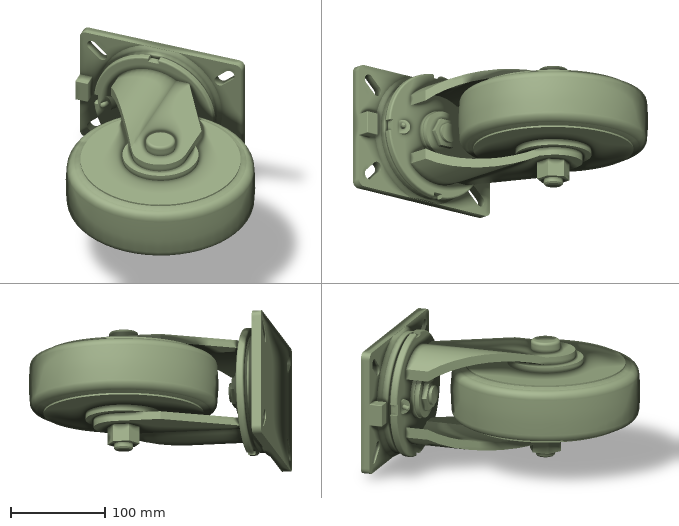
import cadquery as cq
import math


PLATE_LENGTH = 184.3
PLATE_WIDTH = 134.5
PLATE_THICKNESS = 10.0
PLATE_CORNER_RADIUS = 7.0
SLOT_WIDTH = 11.3
SLOT_OUTER_X = PLATE_LENGTH / 2 - 13.8
SLOT_OUTER_Z = PLATE_WIDTH / 2 - 14.8
SLOT_INNER_X = PLATE_LENGTH / 2 - 25.3
SLOT_INNER_Z = PLATE_WIDTH / 2 - 25.0

BLOCK_LENGTH = 14.3
BLOCK_WIDTH = 23.8
BLOCK_HEIGHT = 13.8
BLOCK_ROUND = 0.8

RING_RADIUS = 65.5
RING_FLARE = 4.4
RING_ROUND = 1.8
RING_DEPTH = 20.5
RING_TRIM_WIDTH = PLATE_WIDTH - 0.5
NECK_RADIUS = 60.0
DISK_RADIUS = 68.0
DISK_ROUND = 1.8
DISK_TOP_DEPTH = 23.8
DISK_BOTTOM_DEPTH = 31.7
NOTCH_WIDTH = 11.8
NOTCH_FLOOR_RADIUS = 63.2

KINGPIN_COLLAR_RADIUS = 26.0
KINGPIN_COLLAR_DEPTH = 36.0
KINGPIN_BOSS_RADIUS = 24.8
KINGPIN_BOSS_DEPTH = 41.2
KINGPIN_NUT_FLATS = 29.2
KINGPIN_NUT_DEPTH = 46.5
KINGPIN_STUD_RADIUS = 10.2
KINGPIN_STUD_DEPTH = 50.0

NIPPLE_X = -49.7
NIPPLE_TILT = 35
NIPPLE_BASE_RADIUS = 7.7
NIPPLE_BASE_HEIGHT = 2.8
NIPPLE_RADIUS = 2.5
NIPPLE_HEIGHT = 11.5
NIPPLE_TIP_CHAMFER = 1.3
NIPPLE_ROOT = 5

WHEEL_X = 55.3
WHEEL_DEPTH = 155.1
WHEEL_RADIUS = 100.9
TREAD_SHOULDER_RADIUS = 99.8
TREAD_SHOULDER_Z = 19.0
TREAD_SIDE_RADIUS = 91.5
TREAD_SIDE_Z = 28.0
RIM_RADIUS = 85.3
RIM_EDGE_Z = 30.0
RIM_FACE_Z = 31.7
HUB_RADIUS = 40.5
HUB_FACE_Z = 38.1
BOLT_HEAD_RADIUS = 15.5
BOLT_HEAD_ROUND = 3.0
BOLT_HEAD_Z = 57.3
AXLE_NUT_FLATS = 30.2
AXLE_NUT_Z = -65.0
AXLE_RADIUS = 10.2
AXLE_END_Z = -71.2
AXLE_END_CHAMFER = 1.5

FORK_BACK_X = -38.7
FORK_FLAT_X = 26.0
FORK_BACK_OUTER_Z = 38.0
FORK_BACK_INNER_Z = 26.5
FORK_CROWN_OUTER_Z = 53.8
FORK_CROWN_INNER_Z = 44.5
FORK_FLAT_OUTER_Z = 46.5
FORK_FLAT_INNER_Z = HUB_FACE_Z
FORK_BACK_DEPTH = 56.3
FORK_FRONT_ROOT_X = 40.7
FORK_FRONT_DEPTH = 110
FORK_END_RADIUS = 29.5
FORK_END_DEPTH = WHEEL_DEPTH + 2.5


def level(depth):
    """Workplane at a depth below the plate face: local axes X and Z, extruding towards -Y."""
    return cq.Workplane("XZ", origin=(0, -depth, 0))


def axle_plane(z):
    """Workplane across the wheel axle at height z, extruding towards +Z."""
    return cq.Workplane("XY", origin=(WHEEL_X, -WHEEL_DEPTH, z))


def hexagon_diameter(flats):
    return flats / math.cos(math.pi / 6)


def make_plate():
    plate = level(0).rect(PLATE_LENGTH, PLATE_WIDTH).extrude(PLATE_THICKNESS)
    plate = plate.edges("|Y").fillet(PLATE_CORNER_RADIUS)
    run_x = SLOT_OUTER_X - SLOT_INNER_X
    run_z = SLOT_OUTER_Z - SLOT_INNER_Z
    slot_length = math.hypot(run_x, run_z) + SLOT_WIDTH
    slot_angle = math.degrees(math.atan2(run_z, run_x))
    for side_x in (-1, 1):
        for side_z in (-1, 1):
            center_x = side_x * (SLOT_OUTER_X + SLOT_INNER_X) / 2
            center_z = side_z * (SLOT_OUTER_Z + SLOT_INNER_Z) / 2
            slot = level(0).center(center_x, center_z)
            slot = slot.slot2D(slot_length, SLOT_WIDTH, side_x * side_z * slot_angle)
            plate = plate.cut(slot.extrude(PLATE_THICKNESS))
    block = level(PLATE_THICKNESS).center((BLOCK_LENGTH - PLATE_LENGTH) / 2, 0)
    block = block.rect(BLOCK_LENGTH, BLOCK_WIDTH).extrude(BLOCK_HEIGHT)
    return plate.union(block.edges("|Y or <Y").fillet(BLOCK_ROUND))


def make_race_ring():
    """Ring with a conical flare into the plate, trimmed just inside the plate's long sides."""
    flare_depth = PLATE_THICKNESS + RING_FLARE
    ring = (
        cq.Workplane("XY")
        .moveTo(0, -PLATE_THICKNESS)
        .lineTo(RING_RADIUS + RING_FLARE, -PLATE_THICKNESS)
        .lineTo(RING_RADIUS, -flare_depth)
        .lineTo(RING_RADIUS, -RING_DEPTH)
        .lineTo(0, -RING_DEPTH)
        .close()
        .revolve(360, (0, 0, 0), (0, 1, 0))
        .faces("<Y").edges().fillet(RING_ROUND)
    )
    trim = level(PLATE_THICKNESS).rect(PLATE_LENGTH, RING_TRIM_WIDTH).extrude(RING_DEPTH)
    return ring.intersect(trim)


def make_turntable():
    neck = level(RING_DEPTH).circle(NECK_RADIUS).extrude(DISK_TOP_DEPTH - RING_DEPTH)
    thickness = DISK_BOTTOM_DEPTH - DISK_TOP_DEPTH
    disk = level(DISK_TOP_DEPTH).circle(DISK_RADIUS).extrude(thickness)
    disk = disk.edges().fillet(DISK_ROUND)
    notch_length = DISK_RADIUS - NOTCH_FLOOR_RADIUS
    notch = level(DISK_TOP_DEPTH).center(NOTCH_FLOOR_RADIUS + notch_length / 2, 0)
    notch = notch.rect(notch_length, NOTCH_WIDTH).extrude(thickness)
    for angle in (90, 180, 270):
        disk = disk.cut(notch.rotate((0, 0, 0), (0, 1, 0), angle))
    return neck.union(disk)


def make_kingpin():
    collar = level(DISK_BOTTOM_DEPTH).circle(KINGPIN_COLLAR_RADIUS)
    collar = collar.extrude(KINGPIN_COLLAR_DEPTH - DISK_BOTTOM_DEPTH)
    boss = level(KINGPIN_COLLAR_DEPTH).circle(KINGPIN_BOSS_RADIUS)
    boss = boss.extrude(KINGPIN_BOSS_DEPTH - KINGPIN_COLLAR_DEPTH)
    nut = level(KINGPIN_BOSS_DEPTH).polygon(6, hexagon_diameter(KINGPIN_NUT_FLATS))
    nut = nut.extrude(KINGPIN_NUT_DEPTH - KINGPIN_BOSS_DEPTH)
    stud = level(KINGPIN_NUT_DEPTH).circle(KINGPIN_STUD_RADIUS)
    stud = stud.extrude(KINGPIN_STUD_DEPTH - KINGPIN_NUT_DEPTH)
    return collar.union(boss).union(nut).union(stud)


def make_grease_nipple():
    root = level(-NIPPLE_ROOT)
    base = root.circle(NIPPLE_BASE_RADIUS).extrude(NIPPLE_ROOT + NIPPLE_BASE_HEIGHT)
    tip = root.circle(NIPPLE_RADIUS).extrude(NIPPLE_ROOT + NIPPLE_HEIGHT)
    tip = tip.faces("<Y").chamfer(NIPPLE_TIP_CHAMFER)
    nipple = base.union(tip).rotate((0, 0, 0), (0, 0, 1), -NIPPLE_TILT)
    return nipple.translate((NIPPLE_X, -DISK_BOTTOM_DEPTH, 0))


def make_fork_leg():
    """The +Z leg: a curved section running along Y, trimmed to the outline it has along Z."""
    front_x = WHEEL_X + FORK_END_RADIUS
    bottom_depth = FORK_END_DEPTH + FORK_END_RADIUS
    section = (
        level(DISK_BOTTOM_DEPTH)
        .moveTo(FORK_BACK_X, FORK_BACK_OUTER_Z)
        .threePointArc((0, FORK_CROWN_OUTER_Z), (FORK_FLAT_X, FORK_FLAT_OUTER_Z))
        .lineTo(front_x, FORK_FLAT_OUTER_Z)
        .lineTo(front_x, FORK_FLAT_INNER_Z)
        .lineTo(FORK_FLAT_X, FORK_FLAT_INNER_Z)
        .threePointArc((0, FORK_CROWN_INNER_Z), (FORK_BACK_X, FORK_BACK_INNER_Z))
        .close()
        .extrude(bottom_depth - DISK_BOTTOM_DEPTH)
    )
    back_run = FORK_BACK_X - WHEEL_X
    back_rise = FORK_END_DEPTH - FORK_BACK_DEPTH
    back_distance = math.hypot(back_run, back_rise)
    tangent_angle = math.atan2(back_rise, back_run) + math.acos(FORK_END_RADIUS / back_distance)
    tangent_x = WHEEL_X + FORK_END_RADIUS * math.cos(tangent_angle)
    tangent_y = FORK_END_RADIUS * math.sin(tangent_angle) - FORK_END_DEPTH
    outline = (
        cq.Workplane("XY")
        .moveTo(FORK_BACK_X, -DISK_BOTTOM_DEPTH)
        .lineTo(FORK_BACK_X, -FORK_BACK_DEPTH)
        .lineTo(tangent_x, tangent_y)
        .threePointArc((WHEEL_X, -bottom_depth), (front_x, -FORK_END_DEPTH))
        .lineTo(front_x, -FORK_FRONT_DEPTH)
        .lineTo(FORK_FRONT_ROOT_X, -DISK_BOTTOM_DEPTH)
        .close()
        .extrude(2 * FORK_CROWN_OUTER_Z)
    )
    return section.intersect(outline)


def make_wheel():
    lean = math.sqrt(0.5)
    bulge_r = TREAD_SIDE_RADIUS + (TREAD_SHOULDER_RADIUS - TREAD_SIDE_RADIUS) * lean
    bulge_z = TREAD_SHOULDER_Z + (TREAD_SIDE_Z - TREAD_SHOULDER_Z) * lean
    profile = (
        cq.Workplane("XZ")
        .lineTo(0, RIM_FACE_Z)
        .lineTo(RIM_RADIUS, RIM_FACE_Z)
        .lineTo(RIM_RADIUS, RIM_EDGE_Z)
        .lineTo(TREAD_SIDE_RADIUS, TREAD_SIDE_Z)
        .threePointArc((bulge_r, bulge_z), (TREAD_SHOULDER_RADIUS, TREAD_SHOULDER_Z))
        .threePointArc((WHEEL_RADIUS, 0), (TREAD_SHOULDER_RADIUS, -TREAD_SHOULDER_Z))
        .threePointArc((bulge_r, -bulge_z), (TREAD_SIDE_RADIUS, -TREAD_SIDE_Z))
        .lineTo(RIM_RADIUS, -RIM_EDGE_Z)
        .lineTo(RIM_RADIUS, -RIM_FACE_Z)
        .lineTo(0, -RIM_FACE_Z)
        .close()
    )
    wheel = profile.revolve(360, (0, 0, 0), (0, 1, 0))
    wheel = wheel.translate((WHEEL_X, -WHEEL_DEPTH, 0))
    return wheel.union(axle_plane(-HUB_FACE_Z).circle(HUB_RADIUS).extrude(2 * HUB_FACE_Z))


def make_axle():
    head = axle_plane(FORK_FLAT_OUTER_Z).circle(BOLT_HEAD_RADIUS)
    head = head.extrude(BOLT_HEAD_Z - FORK_FLAT_OUTER_Z)
    head = head.faces(">Z").edges().fillet(BOLT_HEAD_ROUND)
    shaft = axle_plane(AXLE_END_Z).circle(AXLE_RADIUS).extrude(FORK_FLAT_OUTER_Z - AXLE_END_Z)
    shaft = shaft.faces("<Z").chamfer(AXLE_END_CHAMFER)
    nut = axle_plane(AXLE_NUT_Z).transformed(rotate=(0, 0, 90))
    nut = nut.polygon(6, hexagon_diameter(AXLE_NUT_FLATS))
    nut = nut.extrude(-FORK_FLAT_OUTER_Z - AXLE_NUT_Z)
    return head.union(shaft).union(nut)


fork_leg = make_fork_leg()
caster = make_plate().union(make_race_ring()).union(make_turntable())
caster = caster.union(make_kingpin()).union(make_grease_nipple())
caster = caster.union(fork_leg).union(fork_leg.mirror("XY"))
caster = caster.union(make_wheel()).union(make_axle())
result = caster